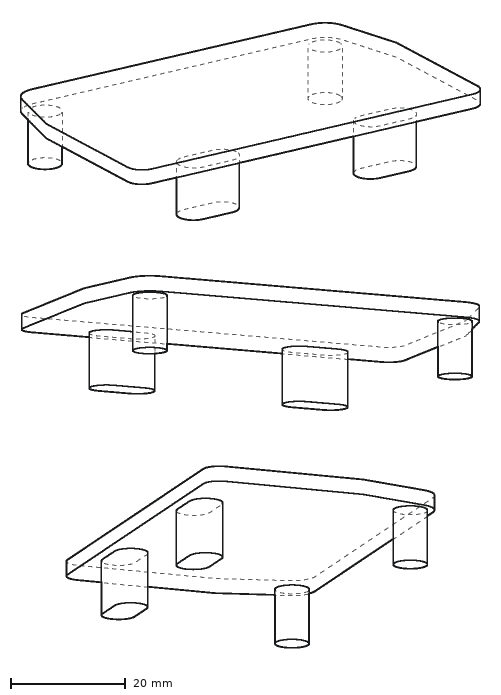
import cadquery as cq

length = 73.2
depth = 44.5
plate_thickness = 2.7
total_height = 12.5
taper_depth = 15.8
taper_inset = 3.95
front_corner_radius = 4.4
rear_corner_radius = 3.0

post_diameter = 6.0
post_height = total_height - plate_thickness
front_post_x = -depth / 2 + 4.25
rear_post_x = depth / 2 - 5.0
front_post_y = 29.3
rear_post_y = 18.5
oblong_length = 2 * post_diameter


def make_plate():
    front_x = -depth / 2
    rear_x = depth / 2
    side_y = length / 2
    front_y = side_y - taper_inset
    outline = [
        (front_x, -front_y),
        (front_x + taper_depth, -side_y),
        (rear_x, -side_y),
        (rear_x, side_y),
        (front_x + taper_depth, side_y),
        (front_x, front_y),
    ]
    plate = cq.Workplane("XY").polyline(outline).close().extrude(plate_thickness)
    plate = plate.edges("|Z and <X").fillet(front_corner_radius)
    return plate.edges("|Z and >X").fillet(rear_corner_radius)


def make_posts():
    round_posts = (
        cq.Workplane("XY")
        .pushPoints([(front_post_x, -front_post_y), (front_post_x, front_post_y)])
        .circle(post_diameter / 2)
        .extrude(-post_height)
    )
    oblong_posts = (
        cq.Workplane("XY")
        .pushPoints([(rear_post_x, -rear_post_y), (rear_post_x, rear_post_y)])
        .slot2D(oblong_length, post_diameter, 90)
        .extrude(-post_height)
    )
    return round_posts, oblong_posts


result = make_plate()
for posts in make_posts():
    result = result.union(posts)